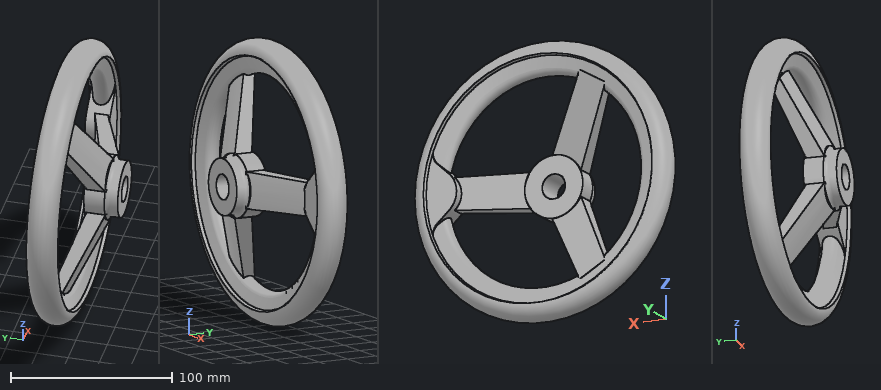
import cadquery as cq
import math

wheel_radius = 90.0
grip_centre_radius = 80.0
grip_radius = wheel_radius - grip_centre_radius
grip_depth = 2 * grip_radius

rim_step_depth = 2.3
rim_step_radius = 79.2
rim_edge_radius = 71.6
rim_edge_depth = 4.7
rim_inner_radius = 67.9

overall_depth = 42.5
hub_front = grip_depth - overall_depth
hub_back = -1.5
nose_radius = 18.0
hub_radius = 20.3
flare_start = -17.5
flare_end = -14.5
bore_radius = 8.01

spoke_count = 3
spoke_inner_radius = 16.2
spoke_outer_radius = 72.0
spoke_inner_half_width = 11.7
spoke_outer_half_width = 10.5
spoke_front_slope = 0.41
spoke_front_zero_radius = 54.2
spoke_back_slope = 0.33
spoke_crown = 0.5

boss_centre_x = 73.8
boss_radius = 15.8
boss_flank_angle = math.radians(42)
boss_flank_length = 11.3
boss_outer_x = 81.0
boss_corner_angle = math.radians(20.8)


def revolve_about_axis(profile):
    return profile.close().revolve(360, (0, 0, 0), (0, 1, 0))


def make_rim():
    back_step = grip_depth - rim_step_depth
    back_edge = grip_depth - rim_edge_depth
    profile = (
        cq.Workplane("XY")
        .moveTo(grip_centre_radius, 0)
        .threePointArc((wheel_radius, grip_radius), (grip_centre_radius, grip_depth))
        .lineTo(rim_step_radius, back_step)
        .lineTo(rim_edge_radius, back_edge)
        .threePointArc((rim_inner_radius, grip_radius), (rim_edge_radius, rim_edge_depth))
        .lineTo(rim_step_radius, rim_step_depth)
    )
    return revolve_about_axis(profile)


def make_hub():
    profile = (
        cq.Workplane("XY")
        .moveTo(0, hub_front)
        .lineTo(nose_radius, hub_front)
        .lineTo(nose_radius, flare_start)
        .tangentArcPoint((hub_radius, flare_end), relative=False)
        .lineTo(hub_radius, hub_back)
        .lineTo(0, hub_back)
    )
    return revolve_about_axis(profile)


def spoke_section(radius, half_width):
    """Section across a spoke along +X, with a slightly crowned front face."""
    crown = spoke_front_slope * (radius - spoke_front_zero_radius)
    shoulder = crown + spoke_crown
    back = hub_back + spoke_back_slope * (radius - hub_radius)
    section = (
        cq.Workplane("YZ", origin=(radius, 0, 0))
        .moveTo(shoulder, -half_width)
        .threePointArc((crown, 0), (shoulder, half_width))
        .lineTo(back, half_width)
        .lineTo(back, -half_width)
        .close()
    )
    return section.val()


def make_spoke():
    inner = spoke_section(spoke_inner_radius, spoke_inner_half_width)
    outer = spoke_section(spoke_outer_radius, spoke_outer_half_width)
    return cq.Workplane(cq.Solid.makeLoft([inner, outer], True))


def make_handle_boss():
    """Round boss whose flanks spread out and blend into the rim."""
    tangent_x = boss_centre_x - boss_radius * math.sin(boss_flank_angle)
    tangent_z = boss_radius * math.cos(boss_flank_angle)
    flank_x = tangent_x + boss_flank_length * math.cos(boss_flank_angle)
    flank_z = tangent_z + boss_flank_length * math.sin(boss_flank_angle)
    corner_x = rim_step_radius * math.cos(boss_corner_angle)
    corner_z = rim_step_radius * math.sin(boss_corner_angle)

    upper_half = (
        cq.Workplane("XZ", origin=(0, rim_step_depth, 0))
        .moveTo(boss_centre_x - boss_radius, 0)
        .radiusArc((tangent_x, tangent_z), boss_radius)
        .lineTo(flank_x, flank_z)
        .tangentArcPoint((corner_x, corner_z), relative=False)
        .lineTo(boss_outer_x, corner_z)
        .lineTo(boss_outer_x, 0)
        .close()
        .extrude(-(grip_depth - 2 * rim_step_depth))
    )
    return upper_half.union(upper_half.mirror("XY"))


result = make_rim().union(make_hub()).union(make_handle_boss())
for index in range(spoke_count):
    angle = 360 / spoke_count * index
    result = result.union(make_spoke().rotate((0, 0, 0), (0, 1, 0), angle))

bore = cq.Workplane("XZ", origin=(0, hub_front, 0)).circle(bore_radius).extrude(-overall_depth)
result = result.cut(bore)